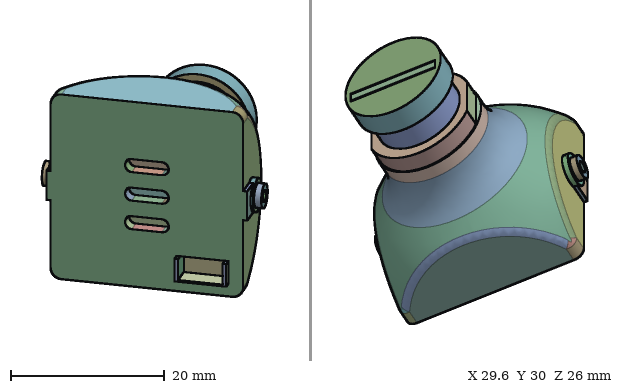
import cadquery as cq


BODY_SIDE = 26.0
BODY_HALF = BODY_SIDE / 2
CORNER_RADIUS = 1.5
DOME_RADIUS = 18.9
DOME_CENTER_Y = -4.15
DOME_EDGE_FILLET = CORNER_RADIUS
PRISM_LENGTH = 17.97

COLLAR_RADIUS = 7.75
COLLAR_END_Y = 18.93
FLARE_START_Y = 16.92
LOCK_RING_RADIUS = 7.6
LOCK_RING_END_Y = 21.47
LENS_NECK_RADIUS = 5.95
LENS_NECK_END_Y = 25.43
LENS_HEAD_RADIUS = 7.0
LENS_HEAD_END_Y = 28.8
LOCK_RING_FLATS = 2 * LENS_HEAD_RADIUS

STRIP_WIDTH = 12.35
STRIP_HEIGHT = 1.45
STRIP_CENTER_Z = -0.85
STRIP_RISE = 0.1

PIVOT_Y = 3.92
PIVOT_DISC_RADIUS = 2.28
PIVOT_DISC_RISE = 0.85
PIVOT_PIN_RADIUS = 1.65
PIVOT_PIN_RISE = 1.8
PIVOT_HOLE_RADIUS = 0.78
PIVOT_RIB_HEIGHT = 4.1
PIVOT_RIB_RISE = 0.55

SLOT_COUNT = 3
SLOT_LENGTH = 5.87
SLOT_HEIGHT = 1.83
SLOT_PITCH = 4.0
SLOT_DEPTH = 2.0

CONNECTOR_LEFT_X = 4.0
CONNECTOR_WIDTH = 6.98
CONNECTOR_TOP_Z = -8.03
CONNECTOR_HEIGHT = 3.17
CONNECTOR_RISE = 1.05
CONNECTOR_SIDE_WALL = 0.48
CONNECTOR_BOTTOM_WALL = 0.25
CONNECTOR_DEPTH = 2.85


def y_cylinder(radius, start_y, end_y):
    """Cylinder about the Y axis."""
    return cq.Workplane("XZ", origin=(0, start_y, 0)).circle(radius).extrude(start_y - end_y)


def box_between(x_range, y_range, z_range):
    """Box given by its limits along each axis."""
    ranges = (x_range, y_range, z_range)
    size = [high - low for low, high in ranges]
    return cq.Workplane("XY").box(*size, centered=False).translate(tuple(low for low, _ in ranges))


def housing():
    """Rounded square prism trimmed by the dome, with the dome edge rounded."""
    prism = (
        cq.Workplane("XZ")
        .rect(BODY_SIDE, BODY_SIDE)
        .extrude(-PRISM_LENGTH)
        .edges("|Y")
        .fillet(CORNER_RADIUS)
    )
    dome = (
        cq.Workplane("XY", origin=(0, DOME_CENTER_Y, 0))
        .moveTo(0, -DOME_RADIUS)
        .threePointArc((DOME_RADIUS, 0), (0, DOME_RADIUS))
        .close()
        .revolve(360, (0, 0, 0), (0, 1, 0))
    )
    body = prism.intersect(dome)
    return body.faces("%SPHERE").edges().fillet(DOME_EDGE_FILLET)


def collar_flare():
    """Collar whose base flares out in an arc tangent to both collar and dome."""
    rise = FLARE_START_Y - DOME_CENTER_Y
    flare_radius = (COLLAR_RADIUS**2 + rise**2 - DOME_RADIUS**2) / (2 * (DOME_RADIUS - COLLAR_RADIUS))
    ratio = DOME_RADIUS / (DOME_RADIUS + flare_radius)
    foot_radius = ratio * (COLLAR_RADIUS + flare_radius)
    foot_y = DOME_CENTER_Y + ratio * rise
    return (
        cq.Workplane("XY")
        .moveTo(0, COLLAR_END_Y)
        .lineTo(COLLAR_RADIUS, COLLAR_END_Y)
        .lineTo(COLLAR_RADIUS, FLARE_START_Y)
        .tangentArcPoint((foot_radius, foot_y), relative=False)
        .lineTo(0, DOME_CENTER_Y + DOME_RADIUS / 2)
        .close()
        .revolve(360, (0, 0, 0), (0, 1, 0))
    )


def barrel():
    """Flared collar, flatted lock ring, neck and lens head."""
    flats = cq.Workplane("XY").box(LOCK_RING_FLATS, 2 * LENS_HEAD_END_Y, 2 * LOCK_RING_RADIUS)
    lock_ring = y_cylinder(LOCK_RING_RADIUS, COLLAR_END_Y, LOCK_RING_END_Y).intersect(flats)
    neck = y_cylinder(LENS_NECK_RADIUS, LOCK_RING_END_Y, LENS_NECK_END_Y)
    head = y_cylinder(LENS_HEAD_RADIUS, LENS_NECK_END_Y, LENS_HEAD_END_Y)
    strip = box_between(
        (-STRIP_WIDTH / 2, STRIP_WIDTH / 2),
        (LENS_HEAD_END_Y, LENS_HEAD_END_Y + STRIP_RISE),
        (STRIP_CENTER_Z - STRIP_HEIGHT / 2, STRIP_CENTER_Z + STRIP_HEIGHT / 2),
    )
    return collar_flare().union(lock_ring).union(neck).union(head).union(strip)


def pivot():
    """Pivot on the +X side: disc, bored pin and a rib back to the rear face."""
    side = cq.Workplane("YZ", origin=(BODY_HALF, PIVOT_Y, 0))
    disc = side.circle(PIVOT_DISC_RADIUS).extrude(PIVOT_DISC_RISE)
    pin = side.circle(PIVOT_PIN_RADIUS).extrude(PIVOT_PIN_RISE)
    rib = box_between(
        (BODY_HALF, BODY_HALF + PIVOT_RIB_RISE),
        (0, PIVOT_Y),
        (-PIVOT_RIB_HEIGHT / 2, PIVOT_RIB_HEIGHT / 2),
    )
    hole = side.circle(PIVOT_HOLE_RADIUS).extrude(PIVOT_PIN_RISE)
    return disc.union(pin).union(rib).cut(hole)


def rear_slots():
    """Column of horizontal slots centred on the rear face."""
    return (
        cq.Workplane("XZ")
        .rarray(0.3, SLOT_PITCH, 1, SLOT_COUNT)
        .slot2D(SLOT_LENGTH, SLOT_HEIGHT)
        .extrude(-SLOT_DEPTH)
    )


def connector_shell():
    """Outer block of the connector behind the rear face."""
    return box_between(
        (CONNECTOR_LEFT_X, CONNECTOR_LEFT_X + CONNECTOR_WIDTH),
        (-CONNECTOR_RISE, 0),
        (CONNECTOR_TOP_Z - CONNECTOR_HEIGHT, CONNECTOR_TOP_Z),
    )


def connector_cavity():
    """Cavity of the connector, running through its top and into the housing."""
    return box_between(
        (CONNECTOR_LEFT_X + CONNECTOR_SIDE_WALL, CONNECTOR_LEFT_X + CONNECTOR_WIDTH - CONNECTOR_SIDE_WALL),
        (-CONNECTOR_RISE, CONNECTOR_DEPTH - CONNECTOR_RISE),
        (CONNECTOR_TOP_Z - CONNECTOR_HEIGHT + CONNECTOR_BOTTOM_WALL, CONNECTOR_TOP_Z),
    )


right_pivot = pivot()
left_pivot = right_pivot.mirror("YZ")

result = (
    housing()
    .union(barrel())
    .union(right_pivot)
    .union(left_pivot)
    .union(connector_shell())
    .cut(connector_cavity())
    .cut(rear_slots())
)